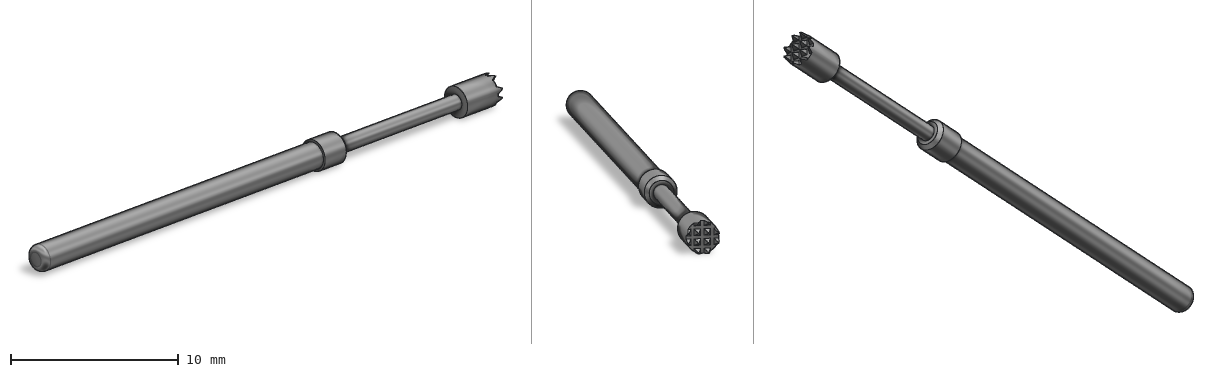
import cadquery as cq

total_length = 37.8

head_diameter = 2.0
head_length = 3.0

plunger_diameter = 1.0

collar_diameter = 2.0
collar_length = 2.0
collar_front_offset = 12.8
collar_chamfer = 0.25

barrel_diameter = 1.7
barrel_end_fillet = 0.4

teeth_per_side = 4
tooth_pitch = 0.6
tooth_height = 0.45
tooth_base_width = 0.4
tooth_tip_width = 0.004

tip_y = total_length / 2
tooth_root_y = tip_y - tooth_height
head_rear_y = tip_y - head_length
collar_front_y = tip_y - collar_front_offset
collar_rear_y = collar_front_y - collar_length
barrel_end_y = -total_length / 2


def rod(diameter, start_y, end_y):
    """Solid cylinder on the Y axis between two stations."""
    return (
        cq.Workplane("XZ", origin=(0, end_y, 0))
        .circle(diameter / 2)
        .extrude(end_y - start_y)
    )


def tooth(x, z):
    """Square pyramid standing on the crown's root plane and pointing to +Y."""
    return (
        cq.Workplane("XZ", origin=(x, tooth_root_y, z))
        .rect(tooth_base_width, tooth_base_width)
        .workplane(offset=-tooth_height)
        .rect(tooth_tip_width, tooth_tip_width)
        .loft()
    )


def crown_head():
    """Round head with a grid of teeth; grid places whose tip lies off the head stay empty."""
    head = rod(head_diameter, head_rear_y, tooth_root_y)
    middle = (teeth_per_side - 1) / 2
    grid_lines = [(i - middle) * tooth_pitch for i in range(teeth_per_side)]
    for x in grid_lines:
        for z in grid_lines:
            if x**2 + z**2 < (head_diameter / 2) ** 2:
                head = head.union(tooth(x, z))
    return head.intersect(rod(head_diameter, head_rear_y, tip_y))


def plunger():
    """Thin shaft between the collar and the head."""
    return rod(plunger_diameter, collar_front_y, head_rear_y)


def collar():
    """Stop collar with a chamfered front edge."""
    return rod(collar_diameter, collar_rear_y, collar_front_y).faces(">Y").chamfer(collar_chamfer)


def barrel():
    """Long barrel with a rounded free end."""
    return rod(barrel_diameter, barrel_end_y, collar_rear_y).faces("<Y").edges().fillet(barrel_end_fillet)


result = barrel().union(collar()).union(plunger()).union(crown_head())